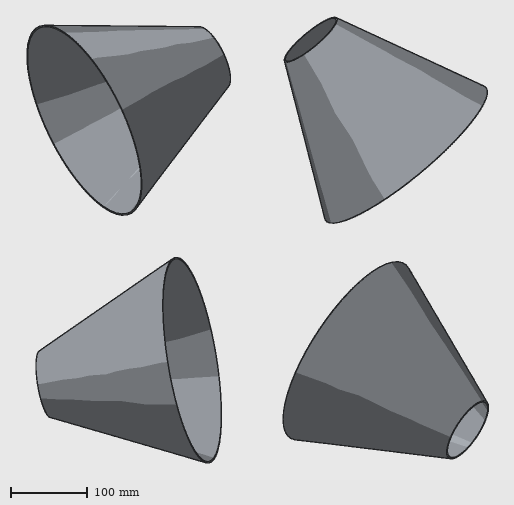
import cadquery as cq

wide_diameter = 273.0
narrow_diameter = 89.0
length = 200.0
radial_wall = 2.2

wide_radius = wide_diameter / 2
narrow_radius = narrow_diameter / 2

wall_section = (
    cq.Workplane("XY")
    .moveTo(wide_radius - radial_wall, 0)
    .lineTo(wide_radius, 0)
    .lineTo(narrow_radius, length)
    .lineTo(narrow_radius - radial_wall, length)
    .close()
)

result = wall_section.revolve(360, (0, 0, 0), (0, 1, 0))